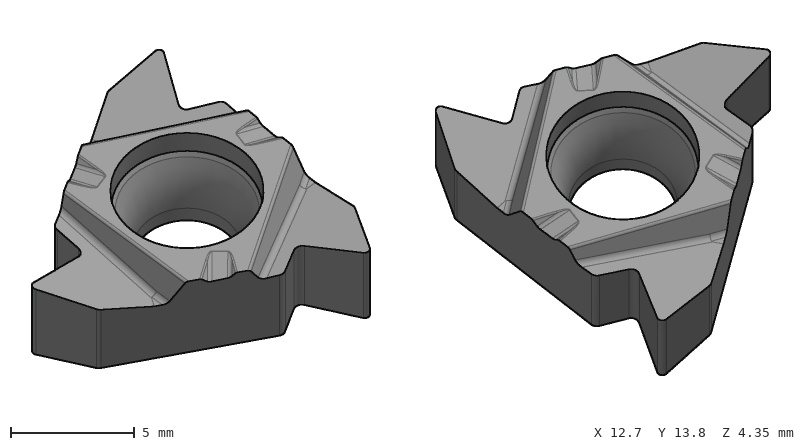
import cadquery as cq
import math

tooth_count = 3
step_angle = 360 / tooth_count
thickness = 4.35
oversize = 27.5

side_distance = 4.76
outer_flank_distance = 6.53
inner_flank_distance = 0.91
shoulder_distance = 4.87
tip_radius = 0.22
corner_radius = 0.33

side_normal = 60
outer_flank_normal = 30
inner_flank_normal = -90
shoulder_normal = 0
tooth_axis_angle = -30

bore_radius = 2.2
counterbore_top_radius = 3.1
counterbore_bottom_radius = 3.05
counterbore_depth = 1.06
seat_top_radius = 2.92
seat_top_depth = 1.25
seat_bottom_depth = 3.58

rake_angle = 10
tip_distance = 7.19
tip_height = 4.02
lowest_floor_height = 3.19
wall_angle = 60
wall_distance = 3.52
wall_turn = -88
wall_root_radius = 0.3
wall_crest_radius = 0.15

pocket_x = -3.46
pocket_y = -0.52
pocket_turn = 166
pocket_slope = 10.8
pocket_wall_angle = 40
pocket_floor_width = 0.84
pocket_root_radius = 0.28
pocket_crest_radius = 0.12
pocket_length = 1.92
pocket_block_width = 3.3
pocket_block_height = 1.1


def around_axis(shape, index):
    return shape.rotate((0, 0, 0), (0, 0, 1), index * step_angle)


def turned(point, angle):
    """Rotate a plan point about the Z axis by an angle in degrees."""
    x, y = point
    c = math.cos(math.radians(angle))
    s = math.sin(math.radians(angle))
    return (c * x - s * y, s * x + c * y)


def meet(angle_a, distance_a, angle_b, distance_b):
    """Point where two edges cross, each given by its normal angle and axis distance."""
    a = math.radians(angle_a)
    b = math.radians(angle_b)
    spread = math.sin(b - a)
    x = (distance_a * math.sin(b) - distance_b * math.sin(a)) / spread
    y = (distance_b * math.cos(a) - distance_a * math.cos(b)) / spread
    return (x, y)


def make_body():
    """Straight-sided body with rounded corners, full thickness."""
    tip = meet(outer_flank_normal, outer_flank_distance, inner_flank_normal, inner_flank_distance)
    tooth = [
        meet(-side_normal, side_distance, shoulder_normal, shoulder_distance),
        meet(shoulder_normal, shoulder_distance, inner_flank_normal, inner_flank_distance),
        tip,
        meet(outer_flank_normal, outer_flank_distance, side_normal, side_distance),
    ]
    outline = [turned(p, i * step_angle) for i in range(tooth_count) for p in tooth]
    body = cq.Workplane("XY").polyline(outline).close().extrude(thickness)
    tip_reach = math.hypot(*tip)

    def is_tip(edge):
        center = edge.Center()
        return math.hypot(center.x, center.y) > tip_reach - tip_radius

    edges = body.edges("|Z").vals()
    tips = [e for e in edges if is_tip(e)]
    corners = [e for e in edges if not is_tip(e)]
    solid = body.val().fillet(tip_radius, tips)
    return cq.Workplane(solid.fillet(corner_radius, corners))


def make_rake_cutter():
    """Space above one tooth: outside the wall, above the rake face and the lowest floor."""
    run = turned((1, 0), wall_turn)
    outward = turned((1, 0), wall_turn + 90)
    wall_plane = cq.Plane(
        origin=(wall_distance, 0, 0),
        xDir=(outward[0], outward[1], 0),
        normal=(run[0], run[1], 0),
    )
    wall_foot = thickness / math.tan(math.radians(wall_angle))
    space = (
        cq.Workplane(wall_plane)
        .polyline([(wall_foot, 0), (oversize, 0), (oversize, 2 * thickness), (-wall_foot, 2 * thickness)])
        .close()
        .extrude(oversize / 2, both=True)
    )

    rake = math.radians(rake_angle)
    rake_plane = cq.Plane(
        origin=(tip_distance, 0, tip_height),
        xDir=(math.cos(rake), 0, math.sin(rake)),
        normal=(-math.sin(rake), 0, math.cos(rake)),
    )
    above_rake = cq.Workplane(rake_plane).rect(2 * oversize, 2 * oversize).extrude(oversize)
    above_rake = above_rake.rotate((0, 0, 0), (0, 0, 1), tooth_axis_angle)
    above_floor = (
        cq.Workplane("XY", origin=(0, 0, lowest_floor_height))
        .rect(2 * oversize, 2 * oversize)
        .extrude(oversize)
    )

    root = (wall_distance, 0, lowest_floor_height)

    def rounded(floor):
        return space.intersect(floor).edges(cq.selectors.NearestToPointSelector(root)).fillet(wall_root_radius)

    return rounded(above_rake).intersect(rounded(above_floor))


def make_pocket_cutter():
    """Trapezoid groove with rounded floor and crest, sloping down along +X, then put in place."""
    slope = math.radians(pocket_slope)
    groove_plane = cq.Plane(
        origin=(0, 0, 0),
        xDir=(0, 1, 0),
        normal=(math.cos(slope), 0, -math.sin(slope)),
    )
    half_floor = pocket_floor_width / 2
    half_top = half_floor + pocket_block_height / math.tan(math.radians(pocket_wall_angle))
    floor_edges = cq.selectors.ParallelDirSelector(groove_plane.zDir)
    groove = (
        cq.Workplane(groove_plane)
        .polyline([
            (-half_floor, 0),
            (half_floor, 0),
            (half_top, pocket_block_height),
            (-half_top, pocket_block_height),
        ])
        .close()
        .extrude(2 * pocket_length, both=True)
        .edges(floor_edges)
        .edges("<Z")
        .fillet(pocket_root_radius)
    )
    block = (
        cq.Workplane("XY")
        .rect(2 * pocket_length, pocket_block_width)
        .extrude(-pocket_block_height)
    )
    grooved = block.cut(groove)
    inner_end = cq.selectors.NearestToPointSelector((0, 0, 0))
    pocket = block.cut(grooved.edges(inner_end).fillet(pocket_crest_radius))
    return pocket.rotate((0, 0, 0), (0, 0, 1), pocket_turn).translate((pocket_x, pocket_y, thickness))


def make_hole_cutter():
    """Revolved screw hole; the seat arc ends tangent to the bore."""
    seat_z = thickness - seat_top_depth
    bore_z = thickness - seat_bottom_depth
    return (
        cq.Workplane("XZ")
        .moveTo(0, 0)
        .lineTo(bore_radius, 0)
        .lineTo(bore_radius, bore_z)
        .tangentArcPoint((seat_top_radius, seat_z), relative=False)
        .lineTo(counterbore_bottom_radius, thickness - counterbore_depth)
        .lineTo(counterbore_top_radius, thickness)
        .lineTo(0, thickness)
        .close()
        .revolve(360, (0, 0, 0), (0, 1, 0))
    )


insert = make_body()

rake_cutter = make_rake_cutter()
for i in range(tooth_count):
    insert = insert.cut(around_axis(rake_cutter, i))

for i in range(tooth_count):
    crest = turned((wall_distance, 0), i * step_angle)
    nearest = cq.selectors.NearestToPointSelector((crest[0], crest[1], thickness))
    insert = insert.edges(nearest).fillet(wall_crest_radius)

pocket_cutter = make_pocket_cutter()
for i in range(tooth_count):
    insert = insert.cut(around_axis(pocket_cutter, i))

result = insert.cut(make_hole_cutter())